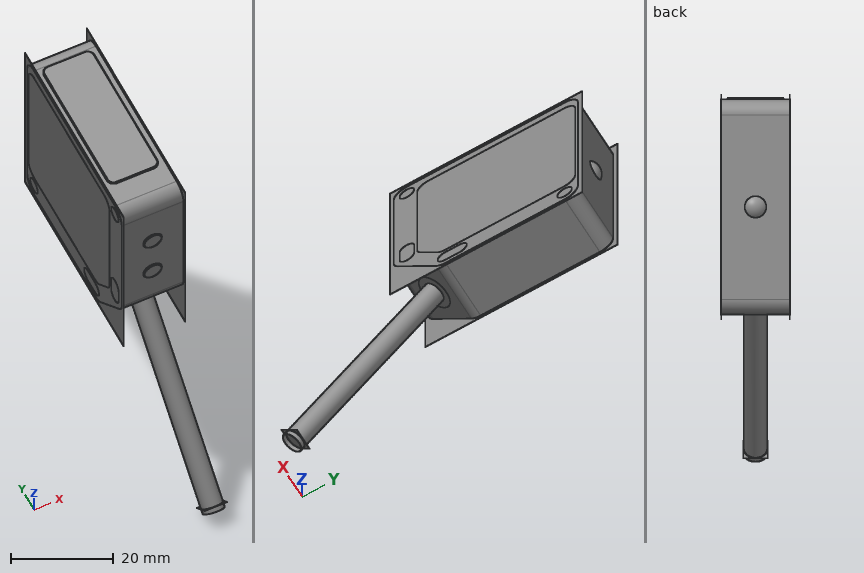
import cadquery as cq

housing_width = 13.45
housing_depth = 41.8
housing_height = 42.0
corner_radius = 3.0
cut_corner_leg = 10.5

flange_overhang = 0.84
flange_back_overhang = 0.99
flange_thickness = 0.05

relief_depth = 0.02
panel_front_margin = 5.35
panel_back_margin = 0.6
panel_bottom_margin = 5.7
panel_top_margin = 2.5
panel_corner_radius = 2.5
panel_cut_corner_leg = 5.35
mount_diameter = 3.3
mount_inset = 3.0
slot_offset = 13.3
slot_length = 6.6

window_width = 11.0
window_length = 30.8
window_front_margin = 7.6
window_corner_radius = 1.5
window_seat_depth = 1.0
window_rise = 0.3
window_chamfer = 0.2

button_diameter = 4.05
button_seat_depth = 1.0
button_rise = 0.25
button_chamfer = 0.2
button_heights = (19.7, 29.8)

dome_base_diameter = 4.2
dome_rise = flange_back_overhang
dome_height = housing_height / 2

cable_diameter = 4.6
cable_free_length = 45.68
collar_diameter = 7.7
collar_depth = 6.0
end_plate_size = 4.85
end_plate_thickness = 0.05
end_cup_depth = 1.08
end_cup_wall = 0.1

cut_corner_middle = cut_corner_leg / 2
cable_plane = cq.Plane(
    origin=(0, cut_corner_middle, cut_corner_middle), xDir=(1, 0, 0), normal=(0, -1, -1)
)


def cut_corner_block(y_min, y_max, z_min, z_max, leg, radius, thickness):
    """Block centred on X = 0 with its lower front corner cut at 45 degrees and all corners rounded."""
    outline = [
        (y_min + leg, z_min),
        (y_max, z_min),
        (y_max, z_max),
        (y_min, z_max),
        (y_min, z_min + leg),
    ]
    block = cq.Workplane("YZ").polyline(outline).close().extrude(thickness / 2, both=True)
    return block.edges("|X").fillet(radius)


def side_flanges():
    """Both thin flanges, each set just below its broad side."""
    flange_depth = flange_overhang + housing_depth + flange_back_overhang
    flange_height = housing_height + 2 * flange_overhang
    centre_x = housing_width / 2 - relief_depth - flange_thickness / 2
    centre_y = flange_depth / 2 - flange_overhang
    return (
        cq.Workplane("XY")
        .pushPoints([(-centre_x, centre_y), (centre_x, centre_y)])
        .box(flange_thickness, flange_depth, flange_height)
        .translate((0, 0, housing_height / 2))
    )


def side_reliefs():
    """Panel, two round mounts and two slots, sunk into both broad sides."""
    shapes = cut_corner_block(
        panel_front_margin,
        housing_depth - panel_back_margin,
        panel_bottom_margin,
        housing_height - panel_top_margin,
        panel_cut_corner_leg,
        panel_corner_radius,
        housing_width,
    )
    sketch = cq.Workplane("YZ")
    round_centres = [
        (mount_inset, housing_height - mount_inset),
        (housing_depth - mount_inset, mount_inset),
    ]
    rounds = sketch.pushPoints(round_centres).circle(mount_diameter / 2)
    shapes = shapes.union(rounds.extrude(housing_width / 2, both=True))
    for centre, angle in (((slot_offset, mount_inset), 0), ((mount_inset, slot_offset), 90)):
        slot = sketch.center(*centre).slot2D(slot_length, mount_diameter, angle)
        shapes = shapes.union(slot.extrude(housing_width / 2, both=True))
    core = cq.Workplane("XY").box(
        housing_width - 2 * relief_depth, 2 * housing_depth, 2 * housing_height
    )
    return shapes.cut(core)


def back_dome():
    """Spherical cap standing on the back face."""
    base_radius = dome_base_diameter / 2
    sphere_radius = (base_radius**2 + dome_rise**2) / (2 * dome_rise)
    sphere_y = housing_depth + dome_rise - sphere_radius
    return cq.Workplane("XY").sphere(sphere_radius).translate((0, sphere_y, dome_height))


def make_window():
    """Rounded rectangular window, standing slightly proud of the top face."""
    window = (
        cq.Workplane("XY", origin=(0, 0, housing_height - window_seat_depth))
        .center(0, window_front_margin + window_length / 2)
        .rect(window_width, window_length)
        .extrude(window_seat_depth + window_rise)
        .edges("|Z")
        .fillet(window_corner_radius)
    )
    return window.faces(">Z").chamfer(window_chamfer)


def make_button(height):
    """Round button with a chamfered rim, standing slightly proud of the front face."""
    button = (
        cq.Workplane("XZ", origin=(0, button_seat_depth, height))
        .circle(button_diameter / 2)
        .extrude(button_seat_depth + button_rise)
    )
    return button.faces("<Y").chamfer(button_chamfer)


def make_cable():
    """Cable with a collar sunk flush into the cut corner, and a square plate and cup at its free end."""
    end_plate_start = cable_free_length - end_cup_depth - end_plate_thickness
    sketch = cq.Workplane(cable_plane)
    collar = sketch.circle(collar_diameter / 2).extrude(-collar_depth)
    cord = sketch.circle(cable_diameter / 2).extrude(cable_free_length)
    end_plate = (
        sketch.workplane(offset=end_plate_start)
        .rect(end_plate_size, end_plate_size)
        .extrude(end_plate_thickness)
    )
    end_cup = (
        sketch.workplane(offset=cable_free_length)
        .circle(cable_diameter / 2 - end_cup_wall)
        .extrude(-end_cup_depth)
    )
    return collar.union(cord).union(end_plate).cut(end_cup)


def make_housing(seated_bodies):
    """Housing with a matching seat for each of the given bodies."""
    block = cut_corner_block(
        0, housing_depth, 0, housing_height, cut_corner_leg, corner_radius, housing_width
    )
    housing = block.union(side_flanges()).union(back_dome()).cut(side_reliefs())
    for body in seated_bodies:
        housing = housing.cut(body)
    return housing


window = make_window()
buttons = [make_button(height) for height in button_heights]
cable = make_cable()
housing = make_housing([window, *buttons, cable])

result = cq.Compound.makeCompound(
    [housing.val(), window.val(), *[button.val() for button in buttons], cable.val()]
)